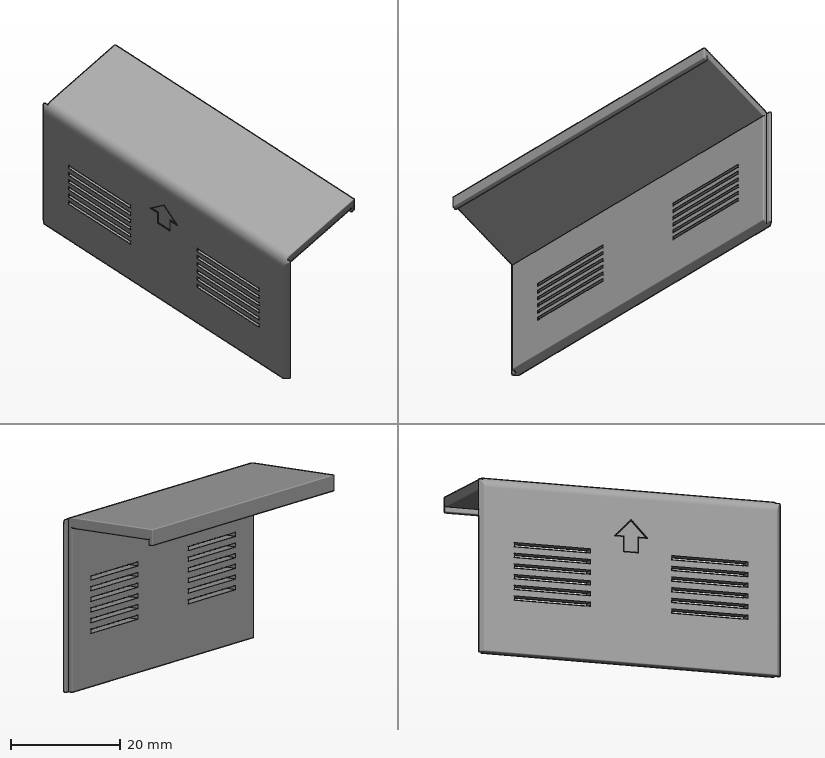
import cadquery as cq
import math

overall_width = 59.45
overall_depth = 20.0
overall_height = 32.8

wall = 2.0
bend_radius = wall
edge_radius = 0.2

lip_thickness = 0.95
lip_height = 3.05

body_width = 57.8
fin_flare_depth = 0.7
fin_back = 1.1

slot_width = 15.0
slot_height = 0.8
slots_per_bank = 6
bank_span = 10.0
slot_pitch = bank_span / (slots_per_bank - 1)
bank_offset = 15.5
bank_center_z = 15.45

arrow_tip_z = 26.9
arrow_height = 6.1
arrow_head = 3.25
arrow_shaft_width = 3.0
arrow_depth = 0.1
arrow_wall_slope = 45

tolerance = 0.005


def side_profile():
    """Closed section of the bent cover, lip included, in the YZ plane."""
    return (
        cq.Workplane("YZ")
        .moveTo(0, 0)
        .lineTo(0, overall_height - bend_radius)
        .radiusArc((bend_radius, overall_height), bend_radius)
        .lineTo(overall_depth, overall_height)
        .lineTo(overall_depth, overall_height - lip_height)
        .lineTo(overall_depth - lip_thickness, overall_height - lip_height)
        .lineTo(overall_depth - lip_thickness, overall_height - wall)
        .lineTo(wall, overall_height - wall)
        .lineTo(wall, 0)
        .close()
    )


def plan_outline():
    """Outline from above: a rectangle whose front corners flare into fins."""
    half_body = body_width / 2
    half_width = overall_width / 2
    right_side = [
        (half_body, 0),
        (half_width, fin_flare_depth),
        (half_width, fin_back),
        (half_body, fin_back),
        (half_body, overall_depth),
    ]
    left_side = [(-x, y) for x, y in reversed(right_side)]
    return cq.Workplane("XY").polyline(right_side + left_side).close()


def stays_sharp(edge):
    """True for the bend's tangent lines, the two inside corners and the fin roots."""
    center = edge.Center()
    sharp_lines_yz = [
        (0, overall_height - bend_radius),
        (bend_radius, overall_height),
        (wall, overall_height - wall),
        (overall_depth - lip_thickness, overall_height - wall),
    ]
    on_sharp_line = abs(center.x) < tolerance and any(
        math.hypot(center.y - y, center.z - z) < tolerance for y, z in sharp_lines_yz
    )
    on_fin_root = math.hypot(abs(center.x) - body_width / 2, center.y - fin_back) < tolerance
    return on_sharp_line or on_fin_root


def cover():
    """Bent cover with fins, all outer edges lightly rounded."""
    section = side_profile().extrude(overall_width / 2, both=True)
    sharp_cover = section.intersect(plan_outline().extrude(overall_height))
    rounded_edges = [edge for edge in sharp_cover.edges().vals() if not stays_sharp(edge)]
    return sharp_cover.newObject(rounded_edges).fillet(edge_radius)


def slots():
    """Two banks of horizontal slots through the front wall."""
    centers = [
        (side * bank_offset, bank_center_z - bank_span / 2 + row * slot_pitch)
        for side in (-1, 1)
        for row in range(slots_per_bank)
    ]
    return (
        cq.Workplane("XZ")
        .pushPoints(centers)
        .rect(slot_width, slot_height)
        .extrude(-wall)
    )


def arrow():
    """Upward arrow sunk into the front face, with sloping walls."""
    head_base_z = arrow_tip_z - arrow_head
    half_shaft = arrow_shaft_width / 2
    right_side = [
        (0, arrow_tip_z),
        (arrow_head, head_base_z),
        (half_shaft, head_base_z),
        (half_shaft, arrow_tip_z - arrow_height),
    ]
    left_side = [(-x, z) for x, z in reversed(right_side[1:])]
    outline = cq.Workplane("XZ").polyline(right_side + left_side).close()
    return outline.extrude(-arrow_depth, taper=arrow_wall_slope)


result = cover().cut(slots()).cut(arrow())